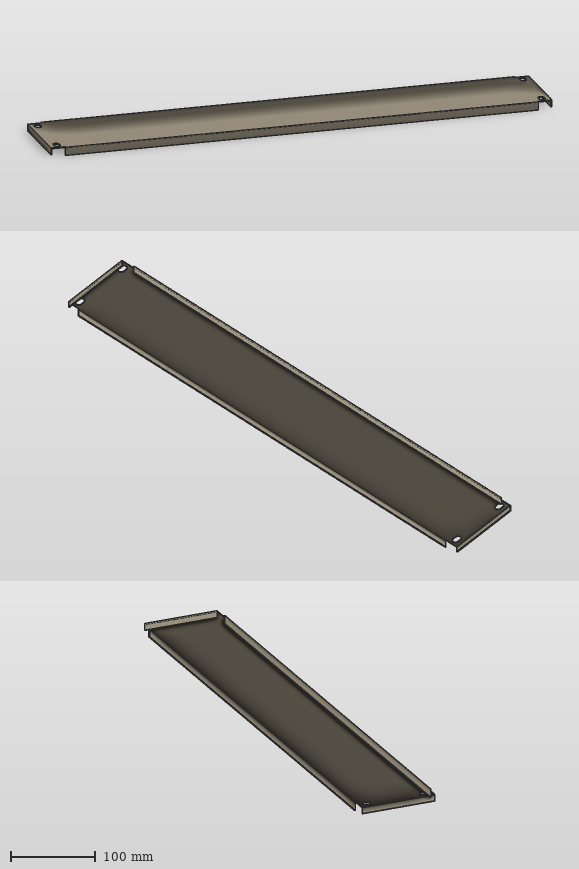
import cadquery as cq

width = 99.0
length = 620.0
height = 10.5
sheet = 1.5

corner_length = 17.5
corner_inset = 2.5
end_flange_height = 8.5

slot_length = 12.5
slot_width = 7.5
slot_spacing = 75.0
slot_end_distance = 10.0

end_width = width - 2 * corner_inset
side_length = length - 2 * corner_length


def top_block(size_x, size_y, depth):
    """Centred block hanging down from the top face at z = 0."""
    return cq.Workplane("XY").box(size_x, size_y, depth, centered=(True, True, False)).translate((0, 0, -depth))


panel = top_block(width, side_length, sheet)
panel = panel.union(top_block(end_width, length, sheet))

for side in (-1, 1):
    side_flange = top_block(sheet, side_length, height)
    panel = panel.union(side_flange.translate((side * (width - sheet) / 2, 0, 0)))
    end_flange = top_block(end_width, sheet, end_flange_height)
    panel = panel.union(end_flange.translate((0, side * (length - sheet) / 2, 0)))

slots = (
    cq.Workplane("XY")
    .rect(slot_spacing, length - 2 * slot_end_distance, forConstruction=True)
    .vertices()
    .slot2D(slot_length, slot_width)
    .extrude(-sheet)
)

result = panel.cut(slots)